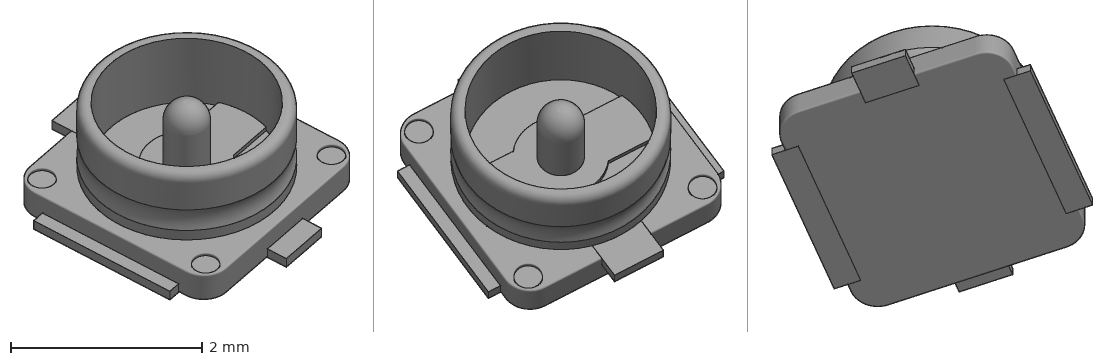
import cadquery as cq
import math

overall_length = 3.1
overall_width = 2.9
overall_height = 1.25

base_side = 2.6
base_height = 0.35
base_corner_radius = 0.3
edge_round = 0.02
recess_diameter = 0.3
recess_depth = 0.03
recess_rim_round = 0.01
recess_x = 1.082
recess_y = 1.073

insulator_strip_width = 0.63
insulator_disc_diameter = 1.0
insulator_rise = 0.05

sheet_thickness = 0.12
tab_width = 0.6
pad_width = 1.8
seat_depth = 0.15

shell_diameter = 2.3
bore_diameter = 2.0
shell_top_round = 0.1
groove_bottom = 0.485
groove_top = 0.772
groove_depth = 0.028

pin_diameter = 0.5
pin_tip_diameter = 0.08
pin_top = overall_height

half_base = base_side / 2
shell_radius = shell_diameter / 2
floor_bottom = base_height - sheet_thickness
insulator_top = base_height + insulator_rise


def block(x_min, x_max, y_min, y_max, z_min, z_max):
    """Rectangular block between the given limits."""
    size = (x_max - x_min, y_max - y_min, z_max - z_min)
    return cq.Workplane("XY").box(*size, centered=False).translate((x_min, y_min, z_min))


def disc(diameter, z_min, z_max):
    """Upright cylinder on the Z axis."""
    return cq.Workplane("XY").workplane(offset=z_min).circle(diameter / 2).extrude(z_max - z_min)


def insulator_strip(z_min, z_max):
    """Strip along Y, widened to a disc around the pin."""
    half_strip = insulator_strip_width / 2
    strip = block(-half_strip, half_strip, -half_base, half_base, z_min, z_max)
    return strip.union(disc(insulator_disc_diameter, z_min, z_max))


def make_shell():
    """Grooved round wall with a split floor and a ground tab on the -X side."""
    bore_radius = bore_diameter / 2
    groove_middle = (groove_bottom + groove_top) / 2
    wall = (
        cq.Workplane("XZ")
        .moveTo(bore_radius, base_height)
        .lineTo(shell_radius, base_height)
        .lineTo(shell_radius, groove_bottom)
        .threePointArc((shell_radius - groove_depth, groove_middle), (shell_radius, groove_top))
        .lineTo(shell_radius, overall_height - shell_top_round)
        .radiusArc((shell_radius - shell_top_round, overall_height), -shell_top_round)
        .lineTo(bore_radius, overall_height)
        .close()
        .revolve(360, (0, 0, 0), (0, 1, 0))
    )

    plates = disc(shell_diameter, floor_bottom, base_height)
    half_tab = tab_width / 2
    ground_tab = block(-overall_length / 2, 0, -half_tab, half_tab, floor_bottom, base_height)
    floor = plates.union(ground_tab).cut(insulator_strip(floor_bottom, base_height))
    return wall.union(floor)


def make_signal_tab():
    """Solder tab on the +X side, flush with the underside of the base."""
    half_tab = tab_width / 2
    return block(half_base - seat_depth, overall_length / 2, -half_tab, half_tab, 0, sheet_thickness)


def make_ground_pad(side):
    """Solder pad on the -Y side (side = -1) or the +Y side (side = 1)."""
    half_pad = pad_width / 2
    y_limits = sorted((side * (half_base - seat_depth), side * overall_width / 2))
    return block(-half_pad, half_pad, *y_limits, 0, sheet_thickness)


def make_pin():
    """Centre pin standing on the insulator, with a spherical end cut off at a small flat tip."""
    pin_radius = pin_diameter / 2
    tip_radius = pin_tip_diameter / 2
    dome_height = math.sqrt(pin_radius**2 - tip_radius**2)
    return (
        cq.Workplane("XZ")
        .moveTo(0, insulator_top)
        .lineTo(pin_radius, insulator_top)
        .lineTo(pin_radius, pin_top - dome_height)
        .radiusArc((tip_radius, pin_top), -pin_radius)
        .lineTo(0, pin_top)
        .close()
        .revolve(360, (0, 0, 0), (0, 1, 0))
    )


def make_base(seated_bodies):
    """Rounded square base with corner recesses, a raised strip and a seat for each metal body."""
    base = (
        cq.Workplane("XY")
        .rect(base_side, base_side)
        .extrude(base_height)
        .edges("|Z")
        .fillet(base_corner_radius)
        .faces("<Z or >Z")
        .edges()
        .fillet(edge_round)
    )

    recess_radius = recess_diameter / 2
    recess = (
        cq.Workplane("XZ")
        .moveTo(0, base_height - recess_depth)
        .lineTo(recess_radius, base_height - recess_depth)
        .lineTo(recess_radius, base_height - recess_rim_round)
        .radiusArc((recess_radius + recess_rim_round, base_height), recess_rim_round)
        .lineTo(0, base_height)
        .close()
        .revolve(360, (0, 0, 0), (0, 1, 0))
    )
    for x in (-recess_x, recess_x):
        for y in (-recess_y, recess_y):
            base = base.cut(recess.translate((x, y, 0)))

    bore = disc(bore_diameter, base_height, insulator_top)
    base = base.union(insulator_strip(base_height, insulator_top).intersect(bore))

    for body in seated_bodies:
        base = base.cut(body)
    return base


shell = make_shell()
signal_tab = make_signal_tab()
ground_pads = [make_ground_pad(side) for side in (-1, 1)]
pin = make_pin()
base = make_base([shell, signal_tab, *ground_pads])

result = cq.Compound.makeCompound(
    [base.val(), shell.val(), signal_tab.val(), pin.val()] + [pad.val() for pad in ground_pads]
)